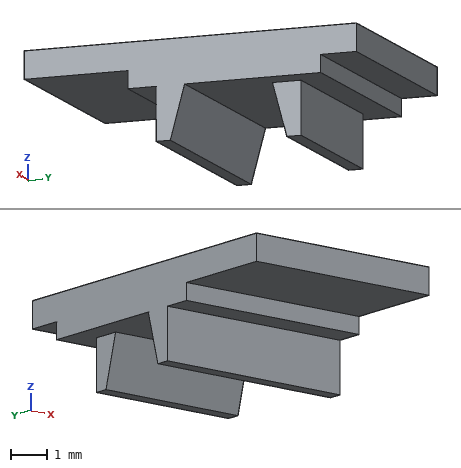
import cadquery as cq

width = 6.1
length = 9.8
height = 2.86

plate_thickness = 0.8
step_thickness = 0.51
step_front = -1.84
step_back = 3.85

leg_front = -1.01
leg_back = 2.99
leg_root = 0.84
leg_tip = 0.42
back_leg_inset = 0.72

top = height / 2
plate_bottom = top - plate_thickness
step_bottom = plate_bottom - step_thickness
leg_bottom = top - height


def extrude_profile(points, x_size):
    """Extrude a closed (Y, Z) outline over x_size, centred on X."""
    return cq.Workplane("YZ").polyline(points).close().extrude(x_size / 2, both=True)


def leg(outer_y, inward, x_size):
    """Leg with its outer face at outer_y, thickening along inward (+1 or -1 in Y).

    The root reaches up to the plate so the leg fuses with the step.
    """
    return extrude_profile([
        (outer_y, plate_bottom),
        (outer_y, leg_bottom),
        (outer_y + inward * leg_tip, leg_bottom),
        (outer_y + inward * leg_root, step_bottom),
        (outer_y + inward * leg_root, plate_bottom),
    ], x_size)


body = extrude_profile([
    (-length / 2, top),
    (length / 2, top),
    (length / 2, plate_bottom),
    (step_back, plate_bottom),
    (step_back, step_bottom),
    (step_front, step_bottom),
    (step_front, plate_bottom),
    (-length / 2, plate_bottom),
], width)

front_leg = leg(leg_front, 1, width)
back_leg = leg(leg_back, -1, width - 2 * back_leg_inset)

result = body.union(front_leg).union(back_leg)